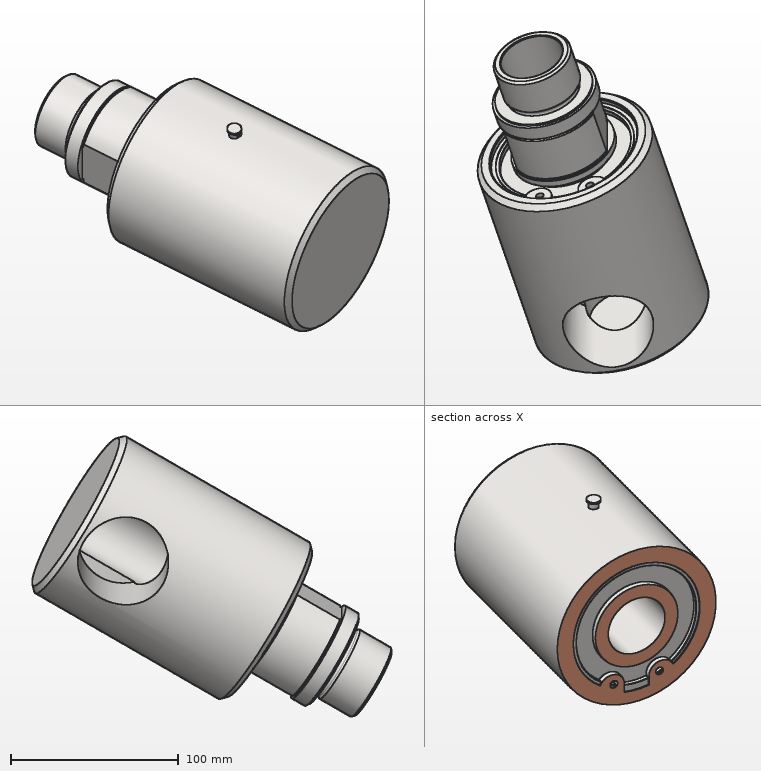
import cadquery as cq

total_length = 206.2
housing_front = 72.2
housing_diameter = 108.0
housing_radius = housing_diameter / 2
housing_chamfer = 3.3

thread_diameter = 47.8
thread_end = 23.0
thread_chamfer = 1.5
neck_diameter = thread_diameter - 2 * thread_chamfer
collar_diameter = 64.0
collar_step_diameter = 60.2
collar_front = 27.5
collar_step_length = 1.2
collar_rear = 37.7
neck_sag = 0.5
groove_diameter = 61.5
groove_width = 0.8
shank_rear = 69.5
disc_front = 70.7
disc_rear = 74.9
rear_neck_diameter = 56.3
wrench_width = 55.0

bore_diameter = 38.1
bore_chamfer = 0.52
port_diameter = 54.0
port_x = 173.2
end_wall = 4.1

recess_diameter = 90.7
recess_chamfer = 0.6
shoulder_depth = 3.7
pocket_diameter = 81.2
pocket_chamfer = 0.2
pocket_depth = 6.5
ring_inner_diameter = 85.5
ring_thickness = 3.5
ring_depth = pocket_depth - ring_thickness
lug_radius = 8.7
lug_hole_diameter = 4.7
lug_y = 17.0
lug_z = -38.4
lug_hole_y = 15.5
lug_hole_z = -37.0

pin_x = 129.0
pin_diameter = 6.4
pin_head_diameter = 8.7
pin_head_thickness = 1.2
pin_height = 5.5
nub_diameter = 3.0


def revolve_about_x(points):
    """Turn a closed (x, radius) outline about the X axis."""
    outline = cq.Workplane("XY").polyline(points).close()
    return outline.revolve(360, (0, 0, 0), (1, 0, 0))


def plane_at(x):
    """Plane facing +X whose local axes are +Y and +Z."""
    return cq.Workplane("YZ", origin=(x, 0, 0))


def make_housing():
    body = plane_at(housing_front).circle(housing_radius).extrude(total_length - housing_front)
    body = body.faces("<X or >X").chamfer(housing_chamfer)
    shoulder_x = housing_front + shoulder_depth
    recess_radius = recess_diameter / 2
    pocket_radius = pocket_diameter / 2
    recess = revolve_about_x([
        (housing_front, 0),
        (housing_front, recess_radius + recess_chamfer),
        (housing_front + recess_chamfer, recess_radius),
        (shoulder_x, recess_radius),
        (shoulder_x, pocket_radius + pocket_chamfer),
        (shoulder_x + pocket_chamfer, pocket_radius),
        (housing_front + pocket_depth, pocket_radius),
        (housing_front + pocket_depth, 0),
    ])
    return body.cut(recess)


def make_retaining_ring():
    """Open ring set into the recess shoulder, with a drilled lug at each end."""
    seat = plane_at(housing_front + ring_depth)
    disc = seat.circle(recess_diameter / 2).extrude(ring_thickness)
    ring = disc.cut(seat.circle(ring_inner_diameter / 2).extrude(ring_thickness))
    gap_half_width = lug_y - lug_radius
    gap = seat.center(0, -housing_radius / 2).rect(2 * gap_half_width, housing_radius)
    ring = ring.cut(gap.extrude(ring_thickness))
    lug_drop = housing_radius
    for side in (-1, 1):
        lug_seat = seat.center(side * lug_y, lug_z)
        lug = lug_seat.circle(lug_radius).extrude(ring_thickness)
        lug_foot = lug_seat.center(0, -lug_drop / 2).rect(2 * lug_radius, lug_drop)
        lug = lug.union(lug_foot.extrude(ring_thickness)).intersect(disc)
        ring = ring.union(lug)
        hole = seat.center(side * lug_hole_y, lug_hole_z).circle(lug_hole_diameter / 2)
        ring = ring.cut(hole.extrude(ring_thickness))
    return ring


def make_rotor():
    thread_radius = thread_diameter / 2
    neck_radius = neck_diameter / 2
    collar_radius = collar_diameter / 2
    neck_middle = (thread_end + thread_chamfer + collar_front) / 2
    step_radius = collar_step_diameter / 2
    groove_radius = groove_diameter / 2
    groove_depth = collar_radius - groove_radius
    pocket_floor = housing_front + pocket_depth
    outline = (
        cq.Workplane("XY")
        .moveTo(0, 0)
        .lineTo(0, thread_radius - thread_chamfer)
        .lineTo(thread_chamfer, thread_radius)
        .lineTo(thread_end, thread_radius)
        .lineTo(thread_end + thread_chamfer, neck_radius)
        .threePointArc((neck_middle, neck_radius - neck_sag), (collar_front, neck_radius))
        .lineTo(collar_front, step_radius)
        .lineTo(collar_front + collar_step_length, step_radius)
        .lineTo(collar_front + collar_step_length, collar_radius)
        .lineTo(collar_rear, collar_radius)
        .lineTo(collar_rear, groove_radius)
        .lineTo(collar_rear + groove_width, groove_radius)
        .lineTo(collar_rear + groove_width + groove_depth / 2, collar_radius)
        .lineTo(shank_rear - groove_depth / 2, collar_radius)
        .lineTo(shank_rear, groove_radius)
        .lineTo(disc_front, groove_radius)
        .lineTo(disc_front, collar_radius)
        .lineTo(disc_rear, collar_radius)
        .lineTo(disc_rear, rear_neck_diameter / 2)
        .lineTo(pocket_floor, rear_neck_diameter / 2)
        .lineTo(pocket_floor, 0)
        .close()
    )
    rotor = outline.revolve(360, (0, 0, 0), (1, 0, 0))
    for side in (-1, 1):
        flat_length = disc_front - collar_rear
        flat = cq.Workplane("XY").box(flat_length, collar_diameter, collar_diameter)
        flat_y = side * (wrench_width + collar_diameter) / 2
        rotor = rotor.cut(flat.translate((collar_rear + flat_length / 2, flat_y, 0)))
    return rotor


def make_pin():
    """Headed pin standing on the housing, with a short side nub under its head."""
    top_z = housing_radius + pin_height
    head_bottom = top_z - pin_head_thickness
    axis_base = cq.Workplane("XY").center(pin_x, 0)
    stem_root = housing_radius - pin_diameter / 2
    stem = axis_base.workplane(offset=stem_root).circle(pin_diameter / 2).extrude(top_z - stem_root)
    head = axis_base.workplane(offset=head_bottom).circle(pin_head_diameter / 2).extrude(pin_head_thickness)
    nub_z = head_bottom - nub_diameter / 2
    nub_seat = cq.Workplane("YZ", origin=(pin_x, 0, nub_z))
    nub = nub_seat.circle(nub_diameter / 2).extrude(pin_head_diameter / 2)
    return stem.union(head).union(nub)


def make_flow_passage():
    """Axial bore from the nose to the end wall, and the side port that opens downward from it."""
    bore_radius = bore_diameter / 2
    bore_end = total_length - end_wall
    bore = revolve_about_x([
        (0, 0),
        (0, bore_radius + bore_chamfer),
        (bore_chamfer, bore_radius),
        (bore_end, bore_radius),
        (bore_end, 0),
    ])
    port = cq.Workplane("XY").center(port_x, 0).circle(port_diameter / 2).extrude(-housing_radius)
    return bore.union(port)


result = (
    make_housing()
    .union(make_retaining_ring())
    .union(make_rotor())
    .union(make_pin())
    .cut(make_flow_passage())
)